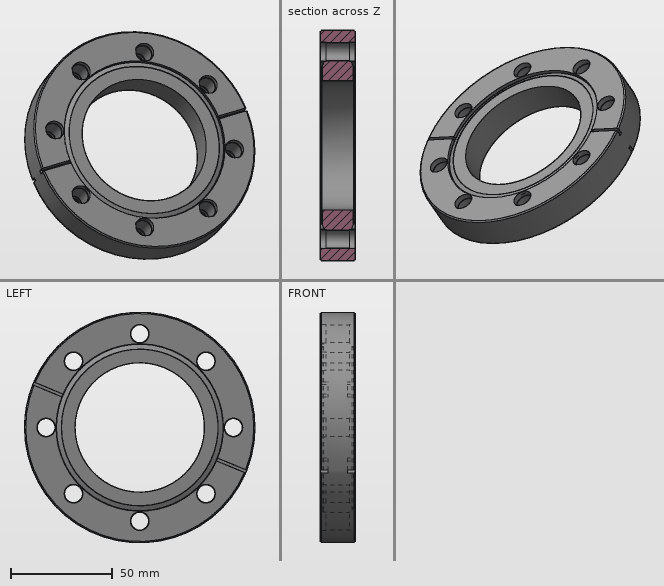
import cadquery as cq

outer_diameter = 113.5
thickness = 17.3
bore_diameter = 63.6
rim_chamfer = 0.7

recess_diameter = 82.4
groove_diameter = 82.0
knife_diameter = 77.2
knife_depth = 0.7
groove_depth = 1.7
floor_depth = 0.9
floor_diameter = 77.0

bolt_count = 8
bolt_circle_diameter = 92.2
bolt_diameter = 8.7
bolt_end_diameter = 9.2
bolt_end_depth = 3.0

slot_angle = 180.0 / bolt_count
slot_width = 1.5
slot_depth = 3.7

half_thickness = thickness / 2


def make_body():
    """Revolve the half section (X along the axis, Y radial) about X."""
    outer_radius = outer_diameter / 2
    right_side = [
        (half_thickness - floor_depth, bore_diameter / 2),
        (half_thickness - floor_depth, floor_diameter / 2),
        (half_thickness - knife_depth, knife_diameter / 2),
        (half_thickness - groove_depth, groove_diameter / 2),
        (half_thickness - groove_depth, recess_diameter / 2),
        (half_thickness, recess_diameter / 2),
        (half_thickness, outer_radius - rim_chamfer),
        (half_thickness - rim_chamfer, outer_radius),
    ]
    left_side = [(-x, radius) for x, radius in reversed(right_side)]
    section = cq.Workplane("XY").polyline(right_side + left_side).close()
    return section.revolve(360, (0, 0, 0), (1, 0, 0))


def make_bolt_hole():
    """Cutter for one through hole on the +Y axis, widened at both ends."""
    hole = cq.Workplane("YZ").circle(bolt_diameter / 2).extrude(half_thickness, both=True)
    for end_start in (-half_thickness, half_thickness - bolt_end_depth):
        wide_end = cq.Workplane("YZ").circle(bolt_end_diameter / 2).extrude(bolt_end_depth)
        hole = hole.union(wide_end.translate((end_start, 0, 0)))
    return hole.translate((0, bolt_circle_diameter / 2, 0))


def make_slot(side):
    """Cutter for one radial slot along +Y in the face at side = -1 or +1."""
    slot_start = recess_diameter / 2
    slot_length = outer_diameter / 2 - slot_start + slot_width
    slot = cq.Workplane("XY").box(slot_depth, slot_length, slot_width)
    slot_x = side * (half_thickness - slot_depth / 2)
    return slot.translate((slot_x, slot_start + slot_length / 2, 0))


def turn(shape, angle):
    """Rotate a shape about the flange axis."""
    return shape.rotate((0, 0, 0), (1, 0, 0), angle)


result = make_body()

for index in range(bolt_count):
    result = result.cut(turn(make_bolt_hole(), index * 360 / bolt_count))

for side in (-1, 1):
    for angle in (slot_angle, slot_angle + 180):
        result = result.cut(turn(make_slot(side), angle))